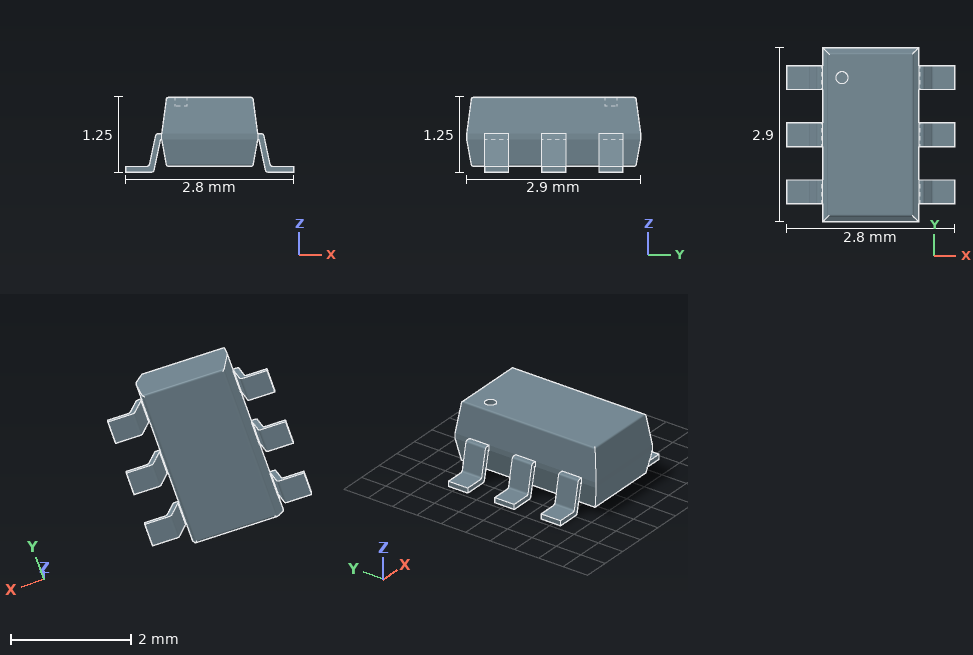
import cadquery as cq
import math

BODY_X = 1.6
BODY_Y = 2.9
TOP_Z = 1.25
LEAD_THICKNESS = 0.1
STANDOFF = LEAD_THICKNESS
BAND_TOP_Z = 0.645
BAND_BOTTOM_Z = BAND_TOP_Z - LEAD_THICKNESS
TAPER_INSET = 0.08
BODY_EDGE_RADIUS = 0.044

MARK_DIAMETER = 0.2
MARK_DEPTH = 0.145
MARK_FROM_SIDE = 0.322

SPAN_X = 2.8
LEAD_WIDTH = 0.4
LEAD_PITCH = 0.95
LEADS_PER_SIDE = 3
FOOT_LENGTH = 0.39
SHOULDER_LENGTH = 0.095
BEND_RADIUS = 0.05


def make_taper(start_z, end_z):
    """Frustum from the band outline at start_z to the inset face at end_z."""
    height = abs(end_z - start_z)
    direction = math.copysign(1, end_z - start_z)
    taper_angle = math.degrees(math.atan2(TAPER_INSET, height))
    return (
        cq.Workplane("XY", origin=(0, 0, start_z))
        .rect(BODY_X, BODY_Y)
        .extrude(direction * height, taper=taper_angle)
    )


def make_body():
    """Molded body: tapered top and bottom, rounded edges and a pin 1 mark."""
    band = (
        cq.Workplane("XY", origin=(0, 0, BAND_BOTTOM_Z))
        .rect(BODY_X, BODY_Y)
        .extrude(LEAD_THICKNESS)
    )
    body = band.union(make_taper(BAND_TOP_Z, TOP_Z)).union(make_taper(BAND_BOTTOM_Z, STANDOFF))
    body = body.faces(">Z or <Z").edges().fillet(BODY_EDGE_RADIUS)

    mark_x = MARK_FROM_SIDE - BODY_X / 2
    mark_y = LEAD_PITCH * (LEADS_PER_SIDE - 1) / 2
    mark = (
        cq.Workplane("XY", origin=(mark_x, mark_y, TOP_Z - MARK_DEPTH))
        .circle(MARK_DIAMETER / 2)
        .extrude(MARK_DEPTH)
    )
    return body.cut(mark)


def make_lead(side, center_y):
    """Gull-wing lead on the -X (side = -1) or +X (side = 1) wall of the body."""
    wall_x = BODY_X / 2
    tip_x = SPAN_X / 2
    foot_corner_x = tip_x - FOOT_LENGTH
    shoulder_corner_x = wall_x + SHOULDER_LENGTH

    leg_angle = math.atan2(foot_corner_x - shoulder_corner_x, BAND_TOP_Z - LEAD_THICKNESS)
    leg_thickness_x = LEAD_THICKNESS / math.cos(leg_angle)
    lean = math.tan(leg_angle) * LEAD_THICKNESS
    heel_x = foot_corner_x + lean - leg_thickness_x
    armpit_x = shoulder_corner_x + lean - leg_thickness_x

    outline = [
        (wall_x, BAND_TOP_Z),
        (shoulder_corner_x, BAND_TOP_Z),
        (foot_corner_x, LEAD_THICKNESS),
        (tip_x, LEAD_THICKNESS),
        (tip_x, 0),
        (heel_x, 0),
        (armpit_x, BAND_BOTTOM_Z),
        (wall_x, BAND_BOTTOM_Z),
    ]
    rounded_corners = [outline[1], outline[2], outline[5]]

    lead = (
        cq.Workplane("XZ", origin=(0, center_y + LEAD_WIDTH / 2, 0))
        .polyline([(side * x, z) for x, z in outline])
        .close()
        .extrude(LEAD_WIDTH)
    )
    for x, z in rounded_corners:
        corner = cq.Vector(side * x, center_y, z)
        lead = lead.edges("|Y").edges(cq.selectors.NearestToPointSelector(corner)).fillet(BEND_RADIUS)
    return lead


body = make_body()

leads = []
for side in (-1, 1):
    for index in range(LEADS_PER_SIDE):
        center_y = (index - (LEADS_PER_SIDE - 1) / 2) * LEAD_PITCH
        leads.append(make_lead(side, center_y))

result = cq.Compound.makeCompound([body.val(), *[lead.val() for lead in leads]])